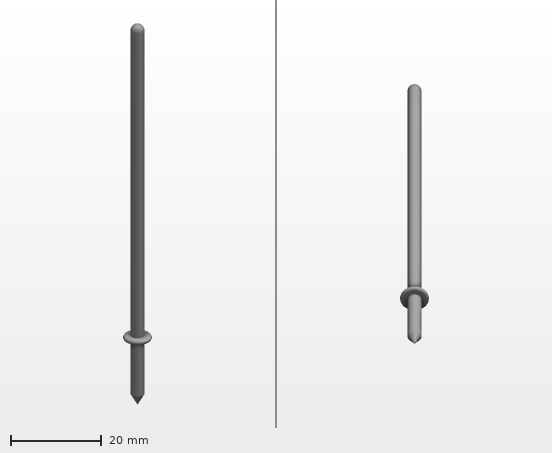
import cadquery as cq

total_length = 93.3
rod_diameter = 3.1
shank_diameter = 3.2
point_length = 2.8
collar_diameter = 6.3
collar_base = 16.0
collar_thickness = 1.1

rod_radius = rod_diameter / 2
shank_radius = shank_diameter / 2
collar_radius = collar_diameter / 2
collar_top = collar_base + collar_thickness
collar_edge_radius = collar_thickness / 2
collar_flat_radius = collar_radius - collar_edge_radius
dome_base = total_length - rod_radius


def dome_midpoint():
    """Point halfway along the quarter-circle dome profile."""
    offset = rod_radius * 0.5 ** 0.5
    return (offset, dome_base + offset)


profile = (
    cq.Workplane("XZ")
    .lineTo(shank_radius, point_length)
    .lineTo(shank_radius, collar_base)
    .lineTo(collar_flat_radius, collar_base)
    .threePointArc(
        (collar_radius, collar_base + collar_edge_radius),
        (collar_flat_radius, collar_top),
    )
    .lineTo(rod_radius, collar_top)
    .lineTo(rod_radius, dome_base)
    .threePointArc(dome_midpoint(), (0, total_length))
    .close()
)

result = profile.revolve(360, (0, 0, 0), (0, 1, 0))